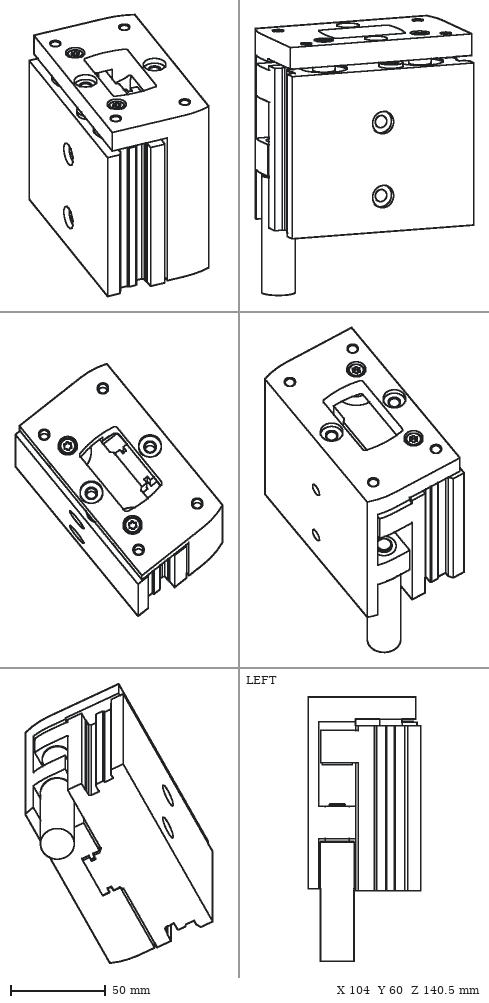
import cadquery as cq
import math


half_width = 52.0
depth = 60.0
housing_height = 87.75
top_z = 103.0
back_y = 33.2
gap_y = 1.5
leg_front_y = back_y + gap_y
side_arc_y = 44.5
side_arc_radius = 43.0
fillet_radius = 2.5

groove_profile = [
    (0.0, 0.0),
    (0.0, 7.1),
    (2.5, 8.6),
    (5.0, 8.6),
    (5.0, 13.7),
    (4.5, 13.7),
    (4.0, 14.3),
    (4.0, 18.1),
    (4.5, 18.8),
    (8.5, 18.8),
    (8.5, 23.4),
    (7.8, 24.6),
    (5.5, 24.6),
    (5.5, 24.75),
    (4.2, 24.75),
    (4.2, 24.9),
    (0.0, 24.9),
    (0.0, back_y),
]
rail_half_width = 11.5
rail_back_y = 45.0
rail_height = 83.5
rail_groove_depth = 2.5
rail_groove_y = (38.6, 41.0)
plateau_half_width = 11.7
wing_z = (68.0, 85.3)
wing_inner_gap = 0.5
wing_back_y = 53.3
pad_diameter = 16.0
pad_height = 0.9
mount_hole_z = (19.2, 59.2)
mount_hole_diameter = 6.5
mount_bore_diameter = 12.0
mount_bore_depth = 3.0

shaft_x = 27.5
shaft_y = 16.0
shaft_diameter = 12.0
shaft_bottom_z = 10.0
shaft_recess_diameter = 25.0
shaft_recess_depth = 1.0
screw_neck_diameter = 5.6
screw_head_diameter = 8.5
screw_head_chamfer = 0.5
screw_head_height = 5.0
screw_head_sink = 0.6
screw_bore_diameter = 10.0
socket_core_diameter = 3.4
socket_lobe_diameter = 1.1
socket_lobes = 6
socket_depth = 2.5

plate_bottom_z = 91.25
plate_front_y = 2.7
shelf_z = 89.7
carriage_bottom_z = 1.0
back_plate_y = 54.3
leg_outer_x = 30.5
leg_clearance = 0.7
channel_end_gap = 0.2
channel_back_y = rail_back_y + channel_end_gap
tab_z = (27.7, 44.8)
window_half_width = 21.4
window_end_half_width = 19.9
window_y = (17.5, 42.6)
window_corner_radius = 1.5
pocket_half_width = 21.4
pocket_arch_radius = 10.0
pocket_floor_z = 70.0
plate_hole_y = (10.0, 50.0)
corner_hole_x = 40.0
corner_thread_diameter = 4.92
centre_thread_diameter = 5.5
thread_chamfer = 0.5
thread_depth = 10.0
plate_bore_diameter = 12.0
plate_bore_depth = 3.0

damper_x = -42.0
damper_y = 44.5
damper_diameter = 18.0
damper_bottom_z = -37.5
damper_top_z = 26.4
damper_chamfer = 0.5
damper_neck_diameter = 12.92
damper_pin_diameter = 8.5
damper_pin_height = 1.5
damper_pin_chamfer = 0.6

plug_x = 7.9
plug_y = 8.5
plug_diameter = 12.92
plug_top_z = 89.6
plug_boss_diameter = 8.57
plug_boss_height = 0.6
plug_depth = 5.0


def block(x_range, y_range, z_range):
    """Box between two limits along each axis."""
    return (
        cq.Workplane("XY")
        .box(x_range[1] - x_range[0], y_range[1] - y_range[0], z_range[1] - z_range[0], centered=False)
        .translate((x_range[0], y_range[0], z_range[0]))
    )


def cylinder(x, y, diameter, z_range):
    """Vertical cylinder between two heights."""
    height = z_range[1] - z_range[0]
    return cq.Workplane("XY").center(x, y).circle(diameter / 2).extrude(height).translate((0, 0, z_range[0]))


def arc_half_width(y):
    """Half width of the rounded flank at a given y."""
    return half_width - side_arc_radius + math.sqrt(side_arc_radius**2 - (y - side_arc_y) ** 2)


def rounded_outline(front_y, rear_y, z_range):
    """Full-width slab whose flanks curve inwards towards the rear."""
    middle_y = (side_arc_y + rear_y) / 2
    return (
        cq.Workplane("XY")
        .moveTo(-half_width, front_y)
        .lineTo(half_width, front_y)
        .lineTo(half_width, side_arc_y)
        .threePointArc((arc_half_width(middle_y), middle_y), (arc_half_width(rear_y), rear_y))
        .lineTo(-arc_half_width(rear_y), rear_y)
        .threePointArc((-arc_half_width(middle_y), middle_y), (-half_width, side_arc_y))
        .close()
        .extrude(z_range[1] - z_range[0])
        .translate((0, 0, z_range[0]))
    )


def rail_section(clearance, front_y, rear_y, z_range):
    """Guide rail with a groove in each flank, grown sideways by a clearance."""
    outer = rail_half_width + clearance
    inner = outer - rail_groove_depth
    rail = block((-outer, outer), (front_y, rear_y), z_range)
    for x_range in ((-outer, -inner), (inner, outer)):
        rail = rail.cut(block(x_range, rail_groove_y, z_range))
    return rail


def mount_holes(diameter, front_y, rear_y):
    """Cylinders along Y at the two mounting positions."""
    return (
        cq.Workplane("XZ", origin=(0, front_y, 0))
        .pushPoints([(0, z) for z in mount_hole_z])
        .circle(diameter / 2)
        .extrude(front_y - rear_y)
    )


def make_housing():
    right_side = [(half_width - inset, y) for inset, y in groove_profile]
    left_side = [(-x, y) for x, y in reversed(right_side)]
    plateau = [
        (plateau_half_width + gap_y, back_y),
        (plateau_half_width, leg_front_y),
        (-plateau_half_width, leg_front_y),
        (-plateau_half_width - gap_y, back_y),
    ]
    housing = cq.Workplane("XY").polyline(right_side + plateau + left_side).close().extrude(housing_height)
    housing = housing.union(rail_section(0, leg_front_y, rail_back_y, (0, rail_height)))

    wing_space = block((-half_width, -leg_outer_x - wing_inner_gap), (back_y, wing_back_y), wing_z)
    housing = housing.union(rounded_outline(back_y, wing_back_y, wing_z).intersect(wing_space))
    housing = housing.union(cylinder(damper_x, damper_y, pad_diameter, (wing_z[0] - pad_height, wing_z[0])))

    housing = housing.cut(mount_holes(mount_hole_diameter, 0, rail_back_y))
    housing = housing.cut(mount_holes(mount_bore_diameter, 0, mount_bore_depth))
    for x in (-shaft_x, shaft_x):
        recess_z = (housing_height - shaft_recess_depth, housing_height)
        housing = housing.cut(cylinder(x, shaft_y, shaft_recess_diameter, recess_z))
        housing = housing.cut(cylinder(x, shaft_y, shaft_diameter, (shaft_bottom_z, housing_height)))
    plug_z = (housing_height - plug_depth, housing_height)
    return housing.cut(cylinder(plug_x, plug_y, plug_diameter, plug_z))


def damper_side_space(z_range, rounded_edges):
    """Space beside the left leg, with rounded inner corners where it meets the leg."""
    space = block((-half_width, -leg_outer_x), (leg_front_y, back_plate_y), z_range)
    return space.edges(rounded_edges).fillet(fillet_radius)


def carriage_window():
    """Opening with bulged ends that runs from the plate top into the arched pocket."""
    front_y, rear_y = window_y
    middle_y = (front_y + rear_y) / 2
    return (
        cq.Workplane("XY")
        .moveTo(-window_end_half_width, front_y)
        .lineTo(window_end_half_width, front_y)
        .threePointArc((window_half_width, middle_y), (window_end_half_width, rear_y))
        .lineTo(-window_end_half_width, rear_y)
        .threePointArc((-window_half_width, middle_y), (-window_end_half_width, front_y))
        .close()
        .extrude(top_z - pocket_floor_z)
        .edges("|Z")
        .fillet(window_corner_radius)
        .translate((0, 0, pocket_floor_z))
    )


def threaded_hole(x, y, mouth_z, diameter):
    """Blind tapped hole with a chamfered mouth."""
    mouth = (
        cq.Workplane("XY", origin=(x, y, mouth_z))
        .circle(diameter / 2 + thread_chamfer)
        .workplane(offset=-thread_chamfer)
        .circle(diameter / 2)
        .loft(ruled=True)
    )
    return cylinder(x, y, diameter, (mouth_z - thread_depth, mouth_z)).union(mouth)


def make_carriage():
    carriage = rounded_outline(leg_front_y, depth, (carriage_bottom_z, top_z))
    front_plate_y = (plate_front_y, leg_front_y)
    carriage = carriage.union(block((-half_width, half_width), front_plate_y, (plate_bottom_z, top_z)))

    carriage = carriage.cut(damper_side_space((tab_z[1], shelf_z), ">X and |Y"))
    carriage = carriage.cut(damper_side_space((carriage_bottom_z, tab_z[0]), ">X and >Z"))

    rail_z = (carriage_bottom_z, shelf_z - pocket_arch_radius)
    carriage = carriage.cut(rail_section(leg_clearance, leg_front_y, channel_back_y, rail_z))
    pocket = block(
        (-pocket_half_width, pocket_half_width), (leg_front_y, channel_back_y), (pocket_floor_z, shelf_z)
    )
    carriage = carriage.cut(pocket.edges(">Z and |Y").fillet(pocket_arch_radius))
    carriage = carriage.cut(carriage_window())

    carriage = carriage.cut(mount_holes(mount_hole_diameter, channel_back_y, depth))
    for y in plate_hole_y:
        carriage = carriage.cut(cylinder(0, y, plate_bore_diameter, (top_z - plate_bore_depth, top_z)))
        carriage = carriage.cut(threaded_hole(0, y, top_z - plate_bore_depth, centre_thread_diameter))
        for x in (-corner_hole_x, corner_hole_x):
            carriage = carriage.cut(threaded_hole(x, y, top_z, corner_thread_diameter))
    head_bottom_z = top_z - screw_head_sink - screw_head_height
    for x in (-shaft_x, shaft_x):
        carriage = carriage.cut(cylinder(x, shaft_y, screw_bore_diameter, (head_bottom_z, top_z)))
        carriage = carriage.cut(cylinder(x, shaft_y, screw_neck_diameter, (plate_bottom_z, head_bottom_z)))
    return carriage.cut(cylinder(damper_x, damper_y, damper_neck_diameter, tab_z))


def make_shaft(x):
    """Guide shaft with its clamping screw in the end plate."""
    head_top_z = top_z - screw_head_sink
    head_bottom_z = head_top_z - screw_head_height
    shaft = cylinder(x, shaft_y, shaft_diameter, (shaft_bottom_z, plate_bottom_z))
    shaft = shaft.union(cylinder(x, shaft_y, screw_neck_diameter, (plate_bottom_z, head_bottom_z)))
    head = cylinder(x, shaft_y, screw_head_diameter, (head_bottom_z, head_top_z))
    shaft = shaft.union(head.faces(">Z").chamfer(screw_head_chamfer))
    socket_z = (head_top_z - socket_depth, head_top_z)
    shaft = shaft.cut(cylinder(x, shaft_y, socket_core_diameter, socket_z))
    for lobe in range(socket_lobes):
        angle = math.pi / 2 + lobe * 2 * math.pi / socket_lobes
        lobe_x = x + socket_core_diameter / 2 * math.cos(angle)
        lobe_y = shaft_y + socket_core_diameter / 2 * math.sin(angle)
        shaft = shaft.cut(cylinder(lobe_x, lobe_y, socket_lobe_diameter, socket_z))
    return shaft


def make_damper():
    """Shock absorber: sleeve below the tab, neck through it and pin above it."""
    damper = cylinder(damper_x, damper_y, damper_diameter, (damper_bottom_z, damper_top_z))
    damper = damper.faces(">Z").chamfer(damper_chamfer)
    damper = damper.union(cylinder(damper_x, damper_y, damper_neck_diameter, (damper_top_z, tab_z[1])))
    pin_z = (tab_z[1], tab_z[1] + damper_pin_height)
    pin = cylinder(damper_x, damper_y, damper_pin_diameter, pin_z)
    return damper.union(pin.faces(">Z").chamfer(damper_pin_chamfer))


def make_plug():
    """Plug in the housing top with a small raised boss."""
    plug = cylinder(plug_x, plug_y, plug_diameter, (housing_height - plug_depth, plug_top_z))
    boss_z = (plug_top_z, plug_top_z + plug_boss_height)
    return plug.union(cylinder(plug_x, plug_y, plug_boss_diameter, boss_z))


housing = make_housing()
carriage = make_carriage()
shafts = [make_shaft(x) for x in (-shaft_x, shaft_x)]
damper = make_damper()
plug = make_plug()

result = cq.Compound.makeCompound(
    [housing.val(), carriage.val(), *[shaft.val() for shaft in shafts], damper.val(), plug.val()]
)